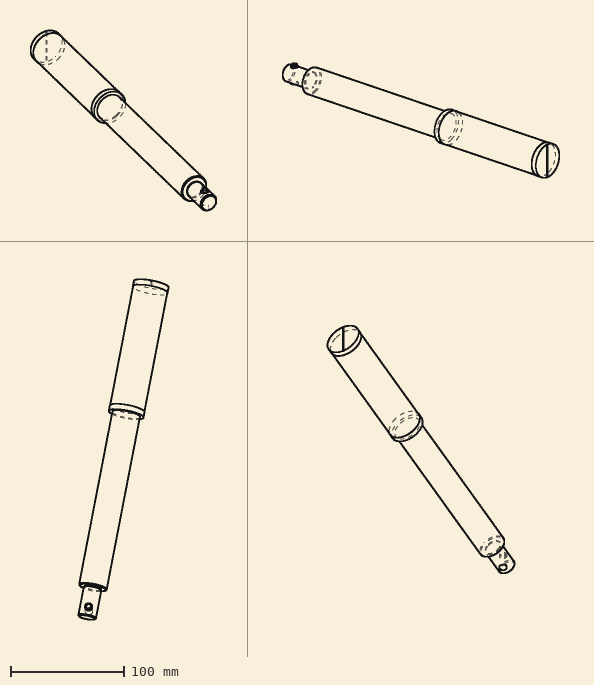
import cadquery as cq

grip_length = 120.0
collar_length = 5.0
tube_end = 280.0
overall_length = 307.6
x_start = -overall_length / 2

collar_diameter = 31.4
grip_diameter = 31.0
tube_diameter = 25.0
neck_diameter = 15.0
spigot_diameter = 16.0

tube_chamfer = 0.8
neck_length = 1.0
spigot_chamfer = 1.0

slot_width = 0.5
slot_depth = 0.5

button_x = 299.6
button_body_diameter = 6.7
button_stem_diameter = 4.8
button_crown_diameter = 4.3
button_shoulder_height = 9.8
button_crown_height = 10.3
button_height = 11.0


def cylinder(start, end, diameter):
    """Round bar on the X axis between two axial stations."""
    plane = cq.Workplane("YZ", origin=(x_start + start, 0, 0))
    return plane.circle(diameter / 2).extrude(end - start)


def make_grip():
    grip = cylinder(0, grip_length, grip_diameter)
    for start in (0, grip_length - collar_length):
        grip = grip.union(cylinder(start, start + collar_length, collar_diameter))
    slot = cq.Workplane("XY").box(2 * slot_depth, slot_width, 2 * collar_diameter)
    return grip.cut(slot.translate((x_start, 0, 0)))


def make_tube():
    tube = cylinder(grip_length, tube_end, tube_diameter)
    return tube.faces(">X").edges().chamfer(tube_chamfer)


def make_button():
    """Turned button: body as long as the spigot is thick, stem, cone and domed crown."""
    body_radius = button_body_diameter / 2
    body_end = spigot_diameter / 2
    stem_radius = button_stem_diameter / 2
    crown_radius = button_crown_diameter / 2
    dome_height = button_height - button_crown_height
    dome_radius = (crown_radius**2 + dome_height**2) / (2 * dome_height)
    middle_x = crown_radius / 2
    middle_drop = dome_radius - (dome_radius**2 - middle_x**2) ** 0.5
    profile = (
        cq.Workplane("XZ")
        .moveTo(0, -body_end)
        .lineTo(body_radius, -body_end)
        .lineTo(body_radius, body_end)
        .lineTo(stem_radius, body_end)
        .lineTo(stem_radius, button_shoulder_height)
        .lineTo(crown_radius, button_crown_height)
        .threePointArc((middle_x, button_height - middle_drop), (0, button_height))
        .close()
    )
    return profile.revolve(360, (0, 0), (0, 1)).translate((x_start + button_x, 0, 0))


def make_spigot():
    neck_end = tube_end + neck_length
    neck = cylinder(tube_end, neck_end, neck_diameter)
    spigot = cylinder(neck_end, overall_length, spigot_diameter)
    spigot = spigot.faces(">X").edges().chamfer(spigot_chamfer)
    return neck.union(spigot).union(make_button())


result = make_grip().union(make_tube()).union(make_spigot())